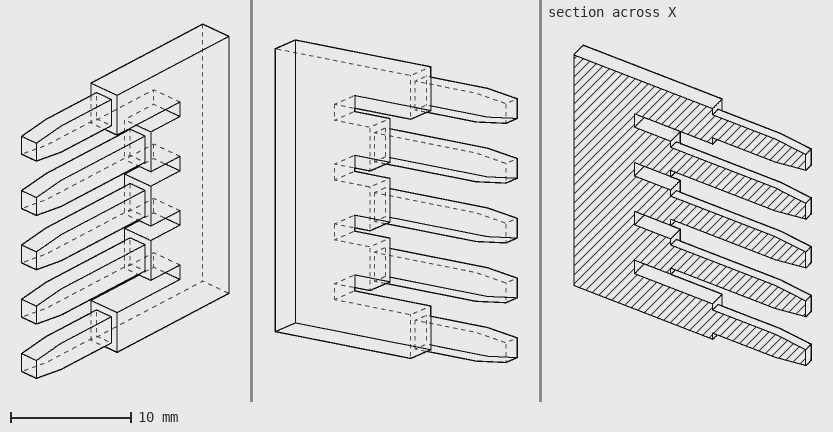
import cadquery as cq

height = 24.6
thickness = 3.0
overall_length = 22.68

tooth_count = 5
tooth_height = 3.81
spine_depth = 5.95
inner_tooth_reach = 9.5
outer_tooth_reach = 13.58
pitch = (height - tooth_height) / (tooth_count - 1)

pin_width = 1.7
pin_height = 2.5
tip_height = 1.72
taper_length = 3.0


def block(reach, block_height, center_z):
    """Full-thickness block from the back face (Y = 0) toward -Y."""
    return (
        cq.Workplane("XY")
        .box(thickness, reach, block_height)
        .translate((0, -reach / 2, center_z))
    )


def pin(root_reach, center_z):
    """Rectangular pin whose end tapers in Z, starting at a tooth face."""
    taper_start = overall_length - taper_length
    outline = [
        (-root_reach, center_z - pin_height / 2),
        (-taper_start, center_z - pin_height / 2),
        (-overall_length, center_z - tip_height / 2),
        (-overall_length, center_z + tip_height / 2),
        (-taper_start, center_z + pin_height / 2),
        (-root_reach, center_z + pin_height / 2),
    ]
    return cq.Workplane("YZ").polyline(outline).close().extrude(pin_width / 2, both=True)


result = block(spine_depth, height, 0)
for index in range(tooth_count):
    tooth_z = (index - (tooth_count - 1) / 2) * pitch
    is_outer = index in (0, tooth_count - 1)
    tooth_reach = outer_tooth_reach if is_outer else inner_tooth_reach
    result = result.union(block(tooth_reach, tooth_height, tooth_z))
    result = result.union(pin(tooth_reach, tooth_z))